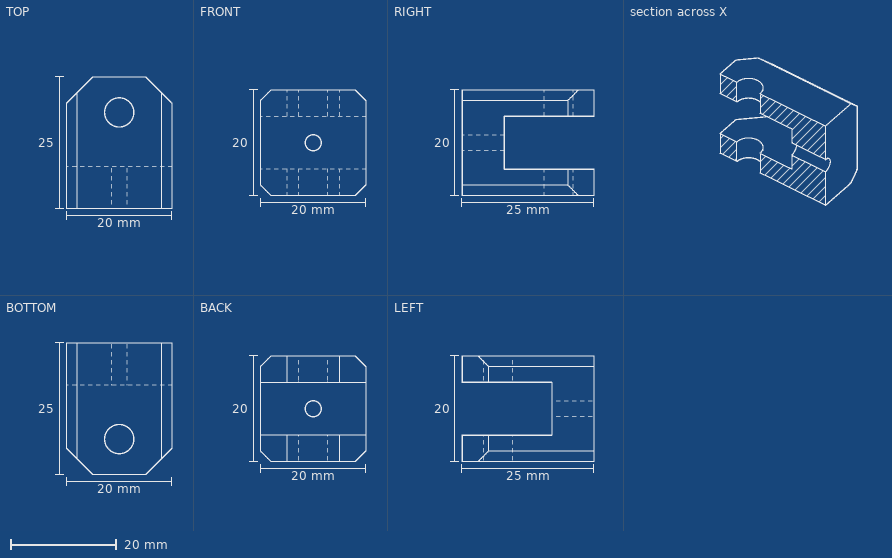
import cadquery as cq

width = 20.0
length = 25.0
edge_chamfer = 2.0
tip_chamfer = 5.0
slot_height = width / 2
slot_depth = 17.0
pin_diameter = 5.5
pin_from_tip = 6.75
stud_diameter = 3.0

tip_y = length / 2
base_thickness = length - slot_depth

body = cq.Workplane("XY").box(width, length, width)
body = body.edges("|Y").chamfer(edge_chamfer)

plan = (
    cq.Workplane("XY")
    .box(width, length, width)
    .edges("|Z and >Y")
    .chamfer(tip_chamfer)
)
body = body.intersect(plan)

slot = cq.Workplane("XY").box(width, slot_depth, slot_height)
slot = slot.translate((0, tip_y - slot_depth / 2, 0))

pin_hole = (
    cq.Workplane("XY")
    .center(0, tip_y - pin_from_tip)
    .circle(pin_diameter / 2)
    .extrude(width / 2, both=True)
)

stud_hole = (
    cq.Workplane("XZ", origin=(0, -length / 2, 0))
    .circle(stud_diameter / 2)
    .extrude(-base_thickness)
)

result = body.cut(slot).cut(pin_hole).cut(stud_hole)